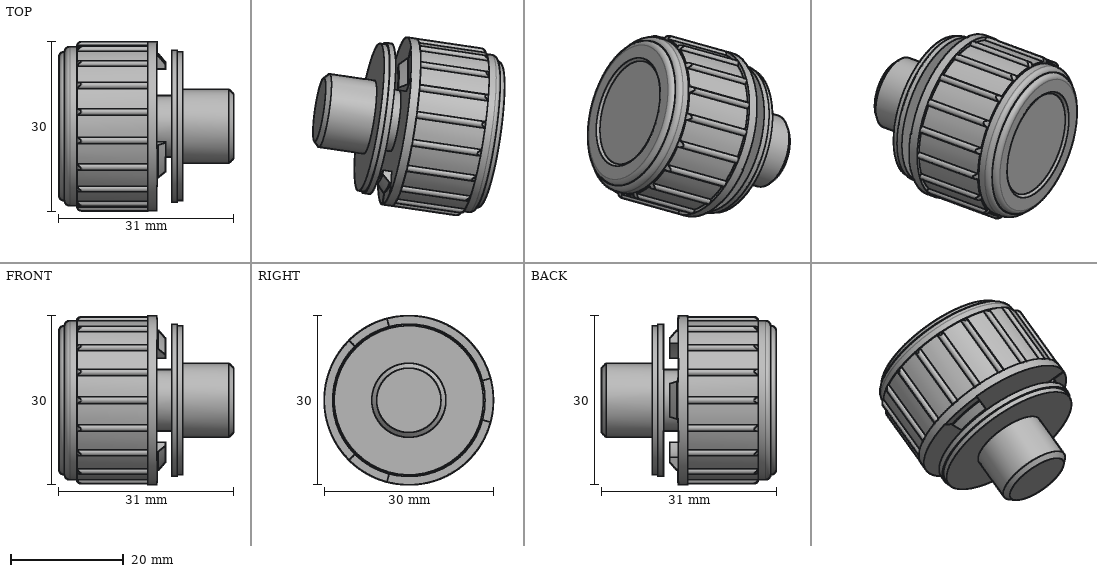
import cadquery as cq

ring_length = 1.0
grip_start = 3.2
collar_start = 15.72
collar_end = 17.35
flange_start = 19.95
flange_step = 21.02
flange_end = 21.98
total_length = 31.0

front_ring_diameter = 26.4
cap_diameter = 28.2
grip_diameter = 28.77
collar_diameter = 30.0
neck_diameter = 10.95
flange_diameter = 27.0
flange_back_diameter = 26.4
stem_diameter = 13.15

cap_rounding = 0.95
stem_chamfer = 0.87

recess_diameter = 19.72
recess_depth = 0.45
recess_taper = 45.0

rib_count = 18
rib_width = 1.18

lug_count = 3
lug_angle = 30.0
lug_inner_radius = 10.48
lug_outer_radius = 12.85
lug_tip_radius = 11.35
lug_pad_height = 0.1
lug_bevel_start = 17.6
lug_end = 18.9


def revolve_about_x(profile, angle=360.0):
    """Revolve a closed profile drawn as (x, radius) about the X axis."""
    return profile.close().revolve(angle, (0, 0, 0), (1, 0, 0))


def turned_body():
    """Cap rings, sleeve core, collar, neck, stepped flange and stem in one turning."""
    ring_radius = front_ring_diameter / 2
    cap_radius = cap_diameter / 2
    collar_radius = collar_diameter / 2
    stem_radius = stem_diameter / 2
    profile = (
        cq.Workplane("XY")
        .lineTo(0, ring_radius - cap_rounding)
        .radiusArc((cap_rounding, ring_radius), cap_rounding)
        .lineTo(ring_length, ring_radius)
        .lineTo(ring_length, cap_radius - cap_rounding)
        .radiusArc((ring_length + cap_rounding, cap_radius), cap_rounding)
        .lineTo(collar_start, cap_radius)
        .lineTo(collar_start, collar_radius)
        .lineTo(collar_end, collar_radius)
        .lineTo(collar_end, neck_diameter / 2)
        .lineTo(flange_start, neck_diameter / 2)
        .lineTo(flange_start, flange_diameter / 2)
        .lineTo(flange_step, flange_diameter / 2)
        .lineTo(flange_step, flange_back_diameter / 2)
        .lineTo(flange_end, flange_back_diameter / 2)
        .lineTo(flange_end, stem_radius)
        .lineTo(total_length - stem_chamfer, stem_radius)
        .lineTo(total_length, stem_radius - stem_chamfer)
        .lineTo(total_length, 0)
    )
    return revolve_about_x(profile)


def front_recess():
    """Shallow round recess whose wall narrows towards its floor."""
    return (
        cq.Workplane("YZ")
        .circle(recess_diameter / 2)
        .extrude(recess_depth, taper=recess_taper)
    )


def grip_sleeve():
    """Ribbed sleeve; ribs and sleeve share one rounded front edge."""
    tip_radius = collar_diameter / 2
    front_radius = cap_diameter / 2
    front_rounding = tip_radius - front_radius
    round_centre = tip_radius - rib_width / 2
    sleeve_length = collar_start - grip_start
    front_plane = cq.Workplane("YZ", origin=(grip_start, 0, 0))
    rib = (
        front_plane
        .moveTo(front_radius, -rib_width / 2)
        .lineTo(round_centre, -rib_width / 2)
        .threePointArc((tip_radius, 0), (round_centre, rib_width / 2))
        .lineTo(front_radius, rib_width / 2)
        .close()
        .extrude(sleeve_length)
    )
    sleeve = front_plane.circle(grip_diameter / 2).extrude(sleeve_length)
    for index in range(rib_count):
        sleeve = sleeve.union(rib.rotate((0, 0, 0), (1, 0, 0), index * 360 / rib_count))
    envelope = revolve_about_x(
        cq.Workplane("XY")
        .moveTo(grip_start, 0)
        .lineTo(grip_start, front_radius)
        .radiusArc((grip_start + front_rounding, tip_radius), front_rounding)
        .lineTo(collar_start, tip_radius)
        .lineTo(collar_start, 0)
    )
    return sleeve.intersect(envelope)


def bayonet_lugs():
    """Arc-shaped lugs with a bevelled outer edge; the first is centred on +Y."""
    pad_end = collar_end + lug_pad_height
    lug = revolve_about_x(
        cq.Workplane("XY")
        .moveTo(collar_end, lug_inner_radius)
        .lineTo(collar_end, collar_diameter / 2)
        .lineTo(pad_end, collar_diameter / 2)
        .lineTo(pad_end, lug_outer_radius)
        .lineTo(lug_bevel_start, lug_outer_radius)
        .lineTo(lug_end, lug_tip_radius)
        .lineTo(lug_end, lug_inner_radius),
        lug_angle,
    ).rotate((0, 0, 0), (1, 0, 0), -lug_angle / 2)
    lugs = cq.Workplane("XY")
    for index in range(lug_count):
        lugs = lugs.add(lug.rotate((0, 0, 0), (1, 0, 0), index * 360 / lug_count))
    return lugs.combine()


result = turned_body().union(grip_sleeve()).union(bayonet_lugs()).cut(front_recess())